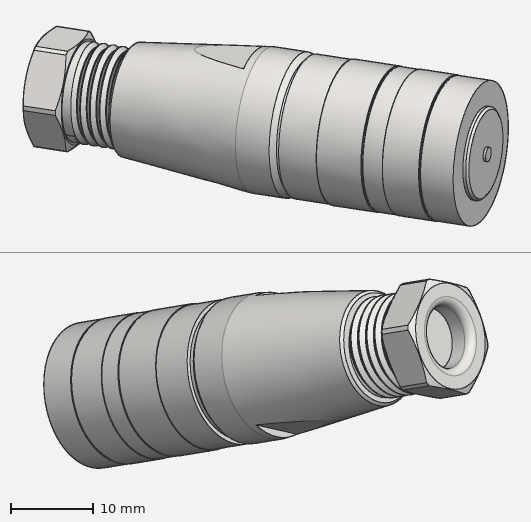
import cadquery as cq
import math


nut_length = 5.0
nut_across_flats = 13.2
nut_corner_diameter = 14.9
nut_face_diameter = 13.0
nut_chamfer_length = 0.4

opening_diameter = 7.7
opening_depth = 3.0
opening_lip_radius = 1.0

thread_diameter = 12.5
thread_pitch = 1.27
thread_depth = 0.55
thread_mouth_width = 1.22
thread_root_width = 0.12
thread_clearance = 0.03
thread_turns = 5
thread_start_x = 5.6
thread_start_angle = 217
neck_end_x = 13.0

sleeve_start_x = 11.28
sleeve_chamfer = 0.35
sleeve_small_diameter = 14.15
collar_start_x = 28.8
collar_end_x = 33.2
outer_diameter = 18.0

flat_spacing = 16.0
flat_end_x = 27.75

groove_start_x = 33.9
groove_diameter = 16.7
body_start_x = 34.4
body_diameter = 17.8
rear_band_start_x = 39.35
rear_band_end_x = 45.2
front_body_diameter = 17.9
front_band_start_x = 47.84
front_band_end_x = 52.75
front_band_chamfer = 0.18
relief_diameter = 17.6
relief_width = 0.2
body_end_x = 57.25

insert_diameter = 11.6
insert_end_x = 57.92
insert_chamfer = 0.3
pin_diameter = 1.8
overall_length = 58.25

axis_plane = cq.Plane.YZ()


def cylinder(start_x, end_x, diameter):
    return cq.Workplane(axis_plane).workplane(offset=start_x).circle(diameter / 2).extrude(end_x - start_x)


def revolve_profile(points):
    """Revolve a closed (x, radius) outline around the connector axis."""
    return cq.Workplane("XY").polyline(points).close().revolve(360, (0, 0, 0), (1, 0, 0))


def make_nut():
    across_corners = nut_across_flats / math.cos(math.pi / 6)
    hexagon = cq.Workplane(axis_plane).polygon(6, across_corners).extrude(nut_length)
    face_radius = nut_face_diameter / 2
    corner_radius = nut_corner_diameter / 2
    envelope = revolve_profile([
        (0, 0),
        (0, face_radius),
        (nut_chamfer_length, corner_radius),
        (nut_length - nut_chamfer_length, corner_radius),
        (nut_length, face_radius),
        (nut_length, 0),
    ])
    return hexagon.intersect(envelope)


def make_opening():
    radius = opening_diameter / 2
    lip = opening_lip_radius
    lip_middle = lip * (1 - math.sqrt(0.5))
    return (
        cq.Workplane("XY")
        .moveTo(0, 0)
        .lineTo(0, radius + lip)
        .threePointArc((lip_middle, radius + lip_middle), (lip, radius))
        .lineTo(opening_depth, radius)
        .lineTo(opening_depth, 0)
        .close()
        .revolve(360, (0, 0, 0), (1, 0, 0))
    )


def make_thread_groove():
    """Right-handed helical groove, built along Z and then turned onto the X axis."""
    crest_radius = thread_diameter / 2
    root_radius = crest_radius - thread_depth
    outside_radius = crest_radius + thread_clearance
    half_mouth = thread_mouth_width / 2
    half_root = thread_root_width / 2
    helix = cq.Wire.makeHelix(thread_pitch, thread_turns * thread_pitch, crest_radius)
    groove = (
        cq.Workplane("XZ")
        .polyline([
            (root_radius, -half_root),
            (outside_radius, -half_mouth),
            (outside_radius, half_mouth),
            (root_radius, half_root),
        ])
        .close()
        .sweep(cq.Workplane(helix), isFrenet=True)
    )
    start_on_axis = groove.rotate((0, 0, 0), (0, 1, 0), 90)
    turned = start_on_axis.rotate((0, 0, 0), (1, 0, 0), 90 + thread_start_angle)
    return turned.translate((thread_start_x, 0, 0))


def make_neck():
    return cylinder(nut_length, neck_end_x, thread_diameter).cut(make_thread_groove())


def make_sleeve():
    small_radius = sleeve_small_diameter / 2
    outer_radius = outer_diameter / 2
    groove_radius = groove_diameter / 2
    sleeve = revolve_profile([
        (sleeve_start_x, 0),
        (sleeve_start_x, small_radius - sleeve_chamfer),
        (sleeve_start_x + sleeve_chamfer, small_radius),
        (collar_start_x, outer_radius),
        (collar_end_x, outer_radius),
        (groove_start_x, groove_radius),
        (body_start_x, groove_radius),
        (body_start_x, 0),
    ])
    flat_depth = (outer_diameter - flat_spacing) / 2
    flat_cut = cq.Workplane("XY").box(flat_end_x - sleeve_start_x, outer_diameter, flat_depth)
    middle_x = (sleeve_start_x + flat_end_x) / 2
    for side in (-1, 1):
        middle_z = side * (flat_spacing + flat_depth) / 2
        sleeve = sleeve.cut(flat_cut.translate((middle_x, 0, middle_z)))
    return sleeve


def make_coupling():
    """Stepped body in which a narrow relief groove follows each of the two grip bands."""
    front_band = cylinder(front_band_start_x, front_band_end_x, outer_diameter)
    coupling = (
        cylinder(body_start_x, rear_band_start_x, body_diameter)
        .union(cylinder(rear_band_start_x, rear_band_end_x, outer_diameter))
        .union(cylinder(rear_band_end_x, body_end_x, front_body_diameter))
        .union(front_band.faces("<X").chamfer(front_band_chamfer))
    )
    for relief_start_x in (rear_band_end_x, front_band_end_x):
        relief_end_x = relief_start_x + relief_width
        ring = cylinder(relief_start_x, relief_end_x, outer_diameter)
        coupling = coupling.cut(ring.cut(cylinder(relief_start_x, relief_end_x, relief_diameter)))
    return coupling


def make_mating_end():
    insert = cylinder(body_end_x, insert_end_x, insert_diameter).faces(">X").chamfer(insert_chamfer)
    return insert.union(cylinder(body_end_x, overall_length, pin_diameter))


result = (
    make_nut()
    .union(make_neck())
    .union(make_sleeve())
    .union(make_coupling())
    .union(make_mating_end())
    .cut(make_opening())
)